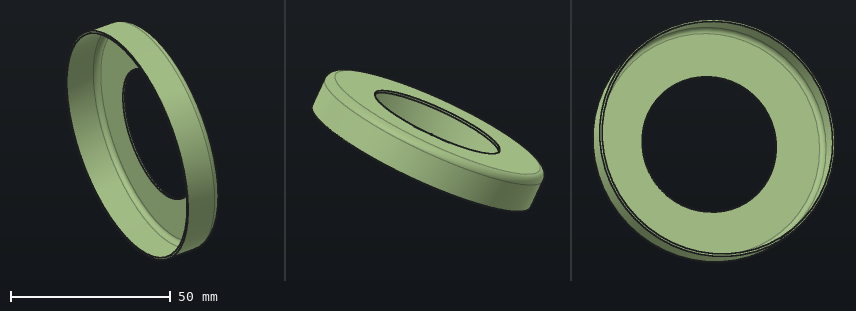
import cadquery as cq

outer_diameter = 75.6
height = 12.0
hole_diameter = 43.0
wall_thickness = 0.8
outer_corner_radius = 2.5

inner_corner_radius = outer_corner_radius - wall_thickness
cavity_diameter = outer_diameter - 2 * wall_thickness
cavity_depth = height - wall_thickness


def rounded_disc(diameter, length, corner_radius):
    """Disc from the open rim at Y = 0 to Y = length, with its +Y edge rounded."""
    disc = cq.Workplane("XZ").circle(diameter / 2).extrude(-length)
    return disc.faces(">Y").edges().fillet(corner_radius)


def centre_hole():
    """Cutter along Y that passes through the end wall."""
    return cq.Workplane("XZ").circle(hole_diameter / 2).extrude(-height)


shell = rounded_disc(outer_diameter, height, outer_corner_radius)
cavity = rounded_disc(cavity_diameter, cavity_depth, inner_corner_radius)
result = shell.cut(cavity).cut(centre_hole())